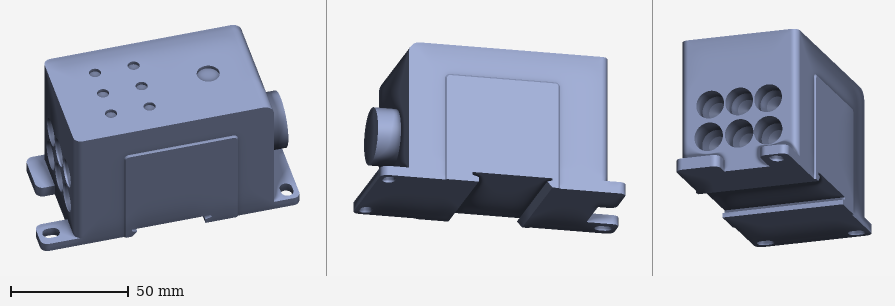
import cadquery as cq

body_width = 52.5
body_height = 60.6
body_front_y = -42.4
body_back_y = 45.1
corner_radius = 3.2
back_edge_radius = 4.9

part_end_y = 57.0
foot_thickness = 4.1
pad_thickness = 5.1
pad_end_y = -50.3
pad_width = 19.6
tab_width = 12.7

slot_length = 7.5
back_slot_width = 5.4
back_slot_x = 20.4
back_slot_y = 52.2
tab_slot_width = 5.7
tab_slot_x = 20.0
tab_slot_y = -51.3

part_width = 54.0
panel_height = 47.5
panel_front_y = -21.0
panel_back_y = 29.3
panel_corner_radius = 2.2

boss_diameter = 24.9
boss_end_y = 55.2
boss_z = 26.0

channel_half_width = 17.5
channel_depth = 4.1
fixed_lip_y = 14.7
fixed_lip_z = 2.0
fixed_undercut_z = 3.0
latch_lip_y = -15.3
latch_lip_z = 2.5
latch_undercut_z = 3.2

column_pitch = 13.0
screw_hole_diameter = 5.1
screw_row_ys = (-23.0, -6.0)
main_screw_diameter = 9.8
main_screw_y = 23.3
screw_hole_depth = 1.6

upper_row_z = 30.7
upper_mouth_diameter = 12.4
upper_mouth_depth = 8.2
lower_row_z = 16.3
lower_mouth_diameter = 12.8
lower_mouth_depth = 10.3
lower_left_offset = 0.7
throat_diameter = 8.7
throat_depth = 3.0
cone_depth = 2.6


def block(x_min, x_max, y_min, y_max, height):
    """Box on the base plane between the given X and Y limits."""
    size = (x_max - x_min, y_max - y_min, height)
    return cq.Workplane("XY").box(*size, centered=False).translate((x_min, y_min, 0))


def make_body():
    half = body_width / 2
    body = block(-half, half, body_front_y, body_back_y, body_height)
    body = body.edges("|Z and <Y").fillet(corner_radius)
    return body.edges(">Y and >Z").fillet(back_edge_radius)


def make_feet():
    """Back flange, solid front pad and slotted front tab."""
    half = body_width / 2
    inside_y = body_front_y + corner_radius
    flange = block(-half, half, body_back_y - corner_radius, part_end_y, foot_thickness)
    flange = flange.edges("|Z and >Y").fillet(corner_radius)
    pad = block(-half, pad_width - half, pad_end_y, inside_y, pad_thickness)
    pad = pad.edges("|Z and <Y").fillet(corner_radius)
    tab = block(half - tab_width, half, -part_end_y, inside_y, foot_thickness)
    tab = tab.edges("|Z and <Y").fillet(corner_radius)
    return flange.union(pad).union(tab)


def make_mounting_slots():
    back_slots = (
        cq.Workplane("XY")
        .pushPoints([(-back_slot_x, back_slot_y), (back_slot_x, back_slot_y)])
        .slot2D(slot_length, back_slot_width)
        .extrude(foot_thickness)
    )
    tab_slot = (
        cq.Workplane("XY")
        .center(tab_slot_x, tab_slot_y)
        .slot2D(slot_length, tab_slot_width, 90)
        .extrude(foot_thickness)
    )
    return back_slots.union(tab_slot)


def make_panels():
    """One slab through the housing that stands proud of both sides, with bevelled rims."""
    half = part_width / 2
    rim = (part_width - body_width) / 2
    slab = block(-half, half, panel_front_y, panel_back_y, panel_height)
    slab = slab.edges("|X and >Z").fillet(panel_corner_radius)
    return slab.faces("<X or >X").edges("not <Z").chamfer(rim)


def make_boss():
    return (
        cq.Workplane("XZ", origin=(0, boss_end_y, boss_z))
        .circle(boss_diameter / 2)
        .extrude(boss_end_y - body_back_y + corner_radius)
    )


def make_rail_channel():
    """Channel along X with a fixed lip at the back and a bevelled latch lip at the front."""
    profile = [
        (fixed_lip_y, 0),
        (fixed_lip_y, fixed_lip_z),
        (channel_half_width, fixed_undercut_z),
        (channel_half_width, channel_depth),
        (-channel_half_width, channel_depth),
        (-channel_half_width, latch_undercut_z),
        (latch_lip_y, latch_lip_z),
        (-channel_half_width, 0),
    ]
    return cq.Workplane("YZ").polyline(profile).close().extrude(part_width / 2, both=True)


def make_screw_holes():
    columns = (-column_pitch, 0, column_pitch)
    top = cq.Workplane("XY", origin=(0, 0, body_height))
    small = (
        top.pushPoints([(x, y) for x in columns for y in screw_row_ys])
        .circle(screw_hole_diameter / 2)
        .extrude(-screw_hole_depth)
    )
    main = top.center(0, main_screw_y).circle(main_screw_diameter / 2).extrude(-screw_hole_depth)
    return small.union(main)


def make_wire_hole(x, z, mouth_diameter, mouth_depth):
    """Blind hole running back from the front face."""
    mouth_radius = mouth_diameter / 2
    throat_end = mouth_depth + throat_depth
    profile = [
        (0, 0),
        (mouth_radius, 0),
        (mouth_radius, mouth_depth),
        (throat_diameter / 2, throat_end),
        (0, throat_end + cone_depth),
    ]
    hole = cq.Workplane("XY").polyline(profile).close().revolve(360, (0, 0), (0, 1))
    return hole.translate((x, body_front_y, z))


def make_wire_holes():
    """Two rows of three; the lower left hole sits slightly outside its column."""
    lower_left_x = -column_pitch - lower_left_offset
    upper = [
        make_wire_hole(x, upper_row_z, upper_mouth_diameter, upper_mouth_depth)
        for x in (-column_pitch, 0, column_pitch)
    ]
    lower = [
        make_wire_hole(x, lower_row_z, lower_mouth_diameter, lower_mouth_depth)
        for x in (lower_left_x, 0, column_pitch)
    ]
    return upper + lower


result = make_body().union(make_feet()).union(make_panels()).union(make_boss())
result = result.cut(make_mounting_slots()).cut(make_rail_channel()).cut(make_screw_holes())
for wire_hole in make_wire_holes():
    result = result.cut(wire_hole)